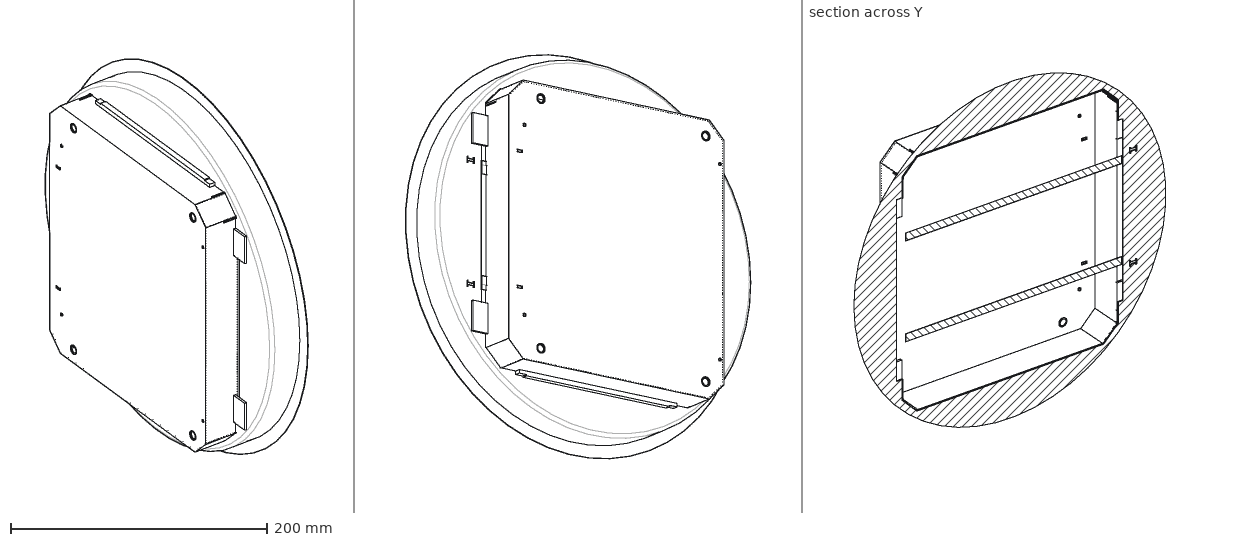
import cadquery as cq


FLANGE_R = 162.5
FLANGE_REAR_R = 153.7
FLANGE_EDGE = 0.5
FLANGE_DEPTH = 3.2
PAN_R = 152.0
PAN_DEPTH = 30.2
PAN_FILLET = 3.0
TOTAL_DEPTH = 59.0

COVER_HALF_X = 104.0
COVER_HALF_Z = 114.0
COVER_CORNER = 14.3
SHEET = 1.0
SCREW_RECESS_R = 4.0
SCREW_HOLE_R = 3.0
SCREW_RECESS_DEPTH = SHEET / 2
SCREW_CENTRES = [(-72.5, 102.0), (86.5, 100.5)]
PIN_HOLES = [(-88.5, 77.7, 1.3), (100.0, 80.0, 1.15)]
COVER_SLOT_SIZE = (5.0, 2.0)
COVER_SLOT_CENTRE = (-93.0, 55.5)
RELIEF_LENGTH = 11.5
RELIEF_WIDTH = 0.5
RELIEF_GAP = 1.3

POCKET_DEPTH = 2.0
POCKET_HALF_X = 109.2
POCKET_HALF_Z = 81.2
SEAT_GAP = 1.0

H_SLOT_CENTRE = (-119.3, 50.7)
H_SLOT_LENGTH = 6.0
H_SLOT_WIDTH = 2.0
H_SLOT_END_HEIGHT = 5.0
H_SLOT_END_WIDTH = 0.5
H_SLOT_DEPTH = SHEET

TAB_OUTER_X = 118.5
TAB_LOW_Z = 64.5
TAB_HIGH_Z = 89.0
TAB_THICKNESS = 2.0

STRIP_HALF_LENGTH = 76.0
STRIP_CREST_HALF_LENGTH = 69.2
STRIP_END_Z = 117.0
STRIP_CREST_Z = 118.0
STRIP_DEPTH = 5.0

PLATE_LEFT_X = -108.0
PLATE_RIGHT_X = 100.8
PLATE_HALF_Z = 52.5
PLATE_THICKNESS = 1.3
PLATE_CHAMFER_RUN = 4.0
PLATE_CHAMFER_DROP = 0.5
PLATE_DIP_HALF_Z = 41.5
PLATE_DIP = 0.5

PAN_FACE_Y = -PAN_DEPTH
POCKET_FLOOR_Y = PAN_FACE_Y + POCKET_DEPTH
COVER_FACE_Y = -TOTAL_DEPTH
SIDES = (-1, 1)


def box(x_range, y_range, z_range):
    """Box spanning the given ranges along X, Y and Z."""
    ranges = (x_range, y_range, z_range)
    lows = [min(r) for r in ranges]
    sizes = [max(r) - min(r) for r in ranges]
    return cq.Workplane("XY").box(*sizes, centered=False).translate(tuple(lows))


def facing(y):
    """XZ sketch plane at the given Y; extrusions from it run toward -Y."""
    return cq.Workplane("XZ", origin=(0, y, 0))


def octagon(half_x, half_z, corner, rear_y, front_y):
    """Rectangular block, centred in X and Z, with its four long edges cut off at 45 degrees."""
    block = facing(rear_y).rect(2 * half_x, 2 * half_z).extrude(rear_y - front_y)
    return block.edges("|Y").chamfer(corner)


def make_pan():
    flange = (
        cq.Workplane("XY")
        .polyline([
            (0, 0),
            (FLANGE_REAR_R, 0),
            (FLANGE_R, FLANGE_EDGE - FLANGE_DEPTH),
            (FLANGE_R, -FLANGE_DEPTH),
            (0, -FLANGE_DEPTH),
        ])
        .close()
        .revolve(360, (0, 0, 0), (0, 1, 0))
    )
    drum = facing(0).circle(PAN_R).extrude(PAN_DEPTH).faces("<Y").edges().fillet(PAN_FILLET)
    pan = flange.union(drum)

    seat = octagon(COVER_HALF_X, COVER_HALF_Z, COVER_CORNER, POCKET_FLOOR_Y, PAN_FACE_Y)
    pan = pan.cut(seat).cut(seat.translate((-SEAT_GAP, 0, 0)))
    pan = pan.cut(box(
        (-POCKET_HALF_X, POCKET_HALF_X),
        (PAN_FACE_Y, POCKET_FLOOR_Y),
        (-POCKET_HALF_Z, POCKET_HALF_Z),
    ))

    slot_x, slot_z = H_SLOT_CENTRE
    slot_plane = facing(PAN_FACE_Y + H_SLOT_DEPTH)
    for side in SIDES:
        centre_z = side * slot_z
        middle = slot_plane.center(slot_x, centre_z).rect(H_SLOT_LENGTH, H_SLOT_WIDTH)
        pan = pan.cut(middle.extrude(H_SLOT_DEPTH))
        ends = [(slot_x + end * H_SLOT_LENGTH / 2, centre_z) for end in SIDES]
        end_slits = slot_plane.pushPoints(ends).rect(H_SLOT_END_WIDTH, H_SLOT_END_HEIGHT)
        pan = pan.cut(end_slits.extrude(H_SLOT_DEPTH))
    return pan


def make_plate():
    top_y = POCKET_FLOOR_Y - PLATE_THICKNESS
    flat_half_z = PLATE_HALF_Z - PLATE_CHAMFER_RUN
    shoulder_y = top_y + PLATE_CHAMFER_DROP
    profile = [
        (POCKET_FLOOR_Y, -PLATE_HALF_Z),
        (shoulder_y, -PLATE_HALF_Z),
        (top_y, -flat_half_z),
        (top_y, flat_half_z),
        (shoulder_y, PLATE_HALF_Z),
        (POCKET_FLOOR_Y, PLATE_HALF_Z),
    ]
    side = cq.Workplane("YZ", origin=(PLATE_LEFT_X, 0, 0)).polyline(profile).close()
    plate = side.extrude(PLATE_RIGHT_X - PLATE_LEFT_X)
    dip = box(
        (PLATE_LEFT_X, PLATE_RIGHT_X),
        (top_y, top_y + PLATE_DIP),
        (-PLATE_DIP_HALF_Z, PLATE_DIP_HALF_Z),
    )
    return plate.cut(dip)


def make_cover(plate):
    cover = octagon(COVER_HALF_X, COVER_HALF_Z, COVER_CORNER, POCKET_FLOOR_Y, COVER_FACE_Y)
    cover = cover.faces(">Y").shell(-SHEET)

    inside_y = COVER_FACE_Y + SHEET
    slot_x, slot_z = COVER_SLOT_CENTRE
    for side in SIDES:
        screws = [(x, side * z) for x, z in SCREW_CENTRES]
        cover = cover.cut(facing(inside_y).pushPoints(screws).circle(SCREW_HOLE_R).extrude(SHEET))
        recesses = facing(COVER_FACE_Y + SCREW_RECESS_DEPTH).pushPoints(screws).circle(SCREW_RECESS_R)
        cover = cover.cut(recesses.extrude(SCREW_RECESS_DEPTH))
        for x, z, radius in PIN_HOLES:
            cover = cover.cut(facing(inside_y).center(x, side * z).circle(radius).extrude(SHEET))
        slot = facing(inside_y).center(slot_x, side * slot_z).rect(*COVER_SLOT_SIZE)
        cover = cover.cut(slot.extrude(SHEET))

    relief_y = (POCKET_FLOOR_Y, PAN_FACE_Y - RELIEF_LENGTH)
    top_slit_x = COVER_HALF_X - COVER_CORNER - RELIEF_GAP
    side_slit_z = COVER_HALF_Z - COVER_CORNER - RELIEF_GAP
    for side in SIDES:
        cover = cover.cut(box(
            (side * top_slit_x, side * (top_slit_x - RELIEF_WIDTH)),
            relief_y,
            (COVER_HALF_Z - SHEET, COVER_HALF_Z),
        ))
        cover = cover.cut(box(
            (side * (COVER_HALF_X - SHEET), side * COVER_HALF_X),
            relief_y,
            (side_slit_z - RELIEF_WIDTH, side_slit_z),
        ))
    return cover.cut(plate)


def make_tab(side_x, side_z):
    return box(
        (side_x * COVER_HALF_X, side_x * TAB_OUTER_X),
        (PAN_FACE_Y, PAN_FACE_Y - TAB_THICKNESS),
        (side_z * TAB_LOW_Z, side_z * TAB_HIGH_Z),
    )


def make_strip(side_z):
    depth = (PAN_FACE_Y, PAN_FACE_Y - STRIP_DEPTH)
    base_z = side_z * COVER_HALF_Z
    low = box((-STRIP_HALF_LENGTH, STRIP_HALF_LENGTH), depth, (base_z, side_z * STRIP_END_Z))
    crest = box(
        (-STRIP_CREST_HALF_LENGTH, STRIP_CREST_HALF_LENGTH),
        depth,
        (base_z, side_z * STRIP_CREST_Z),
    )
    return low.union(crest)


pan = make_pan()
plate = make_plate()
cover = make_cover(plate)
tabs = [make_tab(side_x, side_z) for side_x in SIDES for side_z in SIDES]
strips = [make_strip(side_z) for side_z in SIDES]

result = cq.Compound.makeCompound([
    pan.val(),
    plate.val(),
    cover.val(),
    *[tab.val() for tab in tabs],
    *[strip.val() for strip in strips],
])